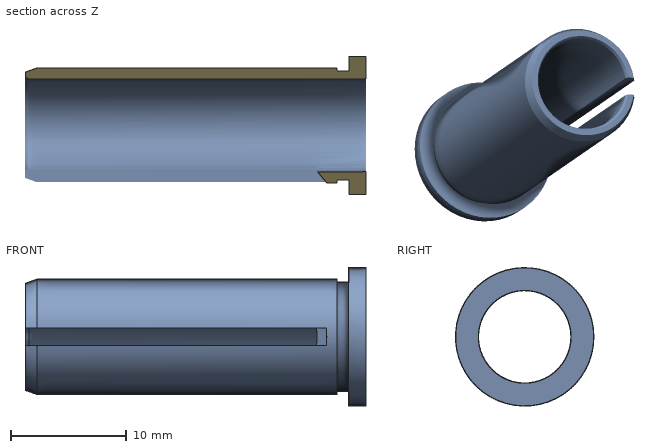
import math

import cadquery as cq

total_length = 29.5
flange_thickness = 1.5
neck_length = 1.0

flange_radius = 6.0
body_radius = 5.0
bore_radius = 4.0
neck_depth = 0.25

lead_in_length = 1.0
lead_in_angle = 20.0
bore_chamfer_length = 0.3
bore_chamfer_depth = 0.15

slot_width = 1.5
slot_outer_length = 26.1
slot_end_tilt = 40.0

flange_start = total_length - flange_thickness
neck_start = flange_start - neck_length
neck_radius = body_radius - neck_depth
lead_in_depth = lead_in_length * math.tan(math.radians(lead_in_angle))


def make_sleeve():
    """Revolve the wall section of the flanged sleeve about the X axis."""
    wall_section = [
        (0, bore_radius + bore_chamfer_depth),
        (0, body_radius - lead_in_depth),
        (lead_in_length, body_radius),
        (neck_start, body_radius),
        (neck_start, neck_radius),
        (flange_start, neck_radius),
        (flange_start, flange_radius),
        (total_length, flange_radius),
        (total_length, bore_radius),
        (bore_chamfer_length, bore_radius),
    ]
    return (
        cq.Workplane("XY")
        .polyline(wall_section)
        .close()
        .revolve(360, (0, 0, 0), (1, 0, 0))
    )


def make_slot_cutter():
    """Slot volume on the -Y side; its closed end slopes back as it nears the axis."""
    end_run = body_radius * math.tan(math.radians(slot_end_tilt))
    slot_profile = [
        (0, 0),
        (slot_outer_length - end_run, 0),
        (slot_outer_length, -body_radius),
        (0, -body_radius),
    ]
    return (
        cq.Workplane("XY")
        .polyline(slot_profile)
        .close()
        .extrude(slot_width / 2, both=True)
    )


result = make_sleeve().cut(make_slot_cutter())